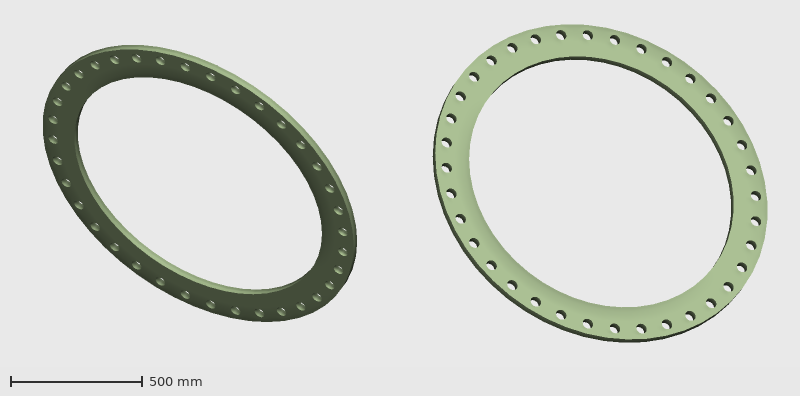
import cadquery as cq

outer_diameter = 1346.0
bore_diameter = 1072.0
thickness = 28.0

bolt_count = 36
bolt_circle_diameter = 1257.0
bolt_hole_diameter = 42.0
bolt_pitch_angle = 360 / bolt_count
first_bolt_angle = bolt_pitch_angle / 2

ring = (
    cq.Workplane("XZ")
    .circle(outer_diameter / 2)
    .circle(bore_diameter / 2)
    .extrude(thickness)
)

bolt_holes = (
    cq.Workplane("XZ")
    .polarArray(bolt_circle_diameter / 2, first_bolt_angle, 360, bolt_count)
    .circle(bolt_hole_diameter / 2)
    .extrude(thickness)
)

result = ring.cut(bolt_holes)